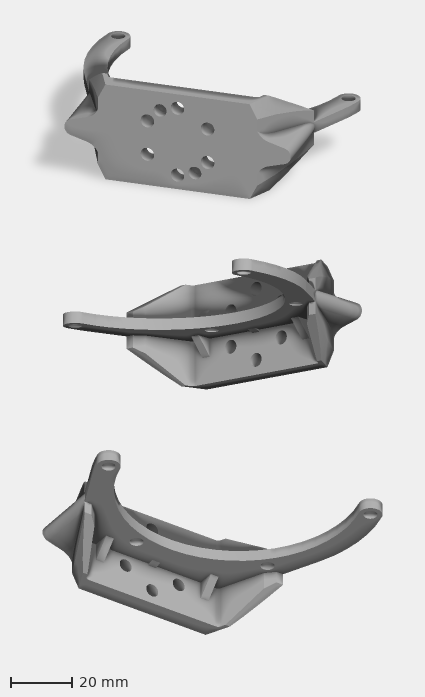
import cadquery as cq
import math

OVERALL_LENGTH = 96.5
BOLT_CIRCLE_RADIUS = 45.05
RING_CENTRE_Y = 58.0
ARM_THICKNESS = 3.9
FIRST_BOLT_ANGLE = 165
BOLT_ANGLE_STEP = 60
BOLT_COUNT = 4
HOLE_DIAMETER = 4.6

LEFT_TIP_ANGLE = math.radians(FIRST_BOLT_ANGLE)
RIGHT_TIP_ANGLE = LEFT_TIP_ANGLE + math.pi
TIP_RADIUS = (OVERALL_LENGTH - BOLT_CIRCLE_RADIUS * (1 + math.cos(RIGHT_TIP_ANGLE))) / 2
RING_INNER_RADIUS = BOLT_CIRCLE_RADIUS - TIP_RADIUS
RING_OUTER_RADIUS = BOLT_CIRCLE_RADIUS + TIP_RADIUS

BODY_HEIGHT = 34.0
PLATE_THICKNESS = 6.0
WALL_THICKNESS = 4.0
WALL_DEPTH = 24.9
WALL_ANGLE = math.radians(24.5)
WALL_TIP_WIDTH = 2.6
WALL_TIP_CHAMFER_DEPTH = 2.9
POCKET_CORNER_RADIUS = 1.4
SLOPE_START_Y = 8.5
WALL_TIP_HALF_HEIGHT = 6.1

FACET_FRONT_WIDTH = 2.6
FACET_MIDDLE_WIDTH = 2.7
FACET_REAR_WIDTH = 3.9
FACET_FRONT_Z = 11.9
FACET_MIDDLE_Z = 9.8

WING_NOSE_RADIUS = 2.9
WING_NOSE_CENTRE_X = 36.1
WING_FLARE_ANGLE = math.radians(16)
WING_FLARE_LENGTH = 5.9
WING_ROOT_RADIUS = 6.0

PLATE_CIRCLE_RADIUS = 12.0
THROUGH_HOLE_ANGLES = range(30, 360, 60)
BLIND_HOLE_ANGLES = (120, 300)
BLIND_HOLE_DIAMETER = 4.4
BLIND_HOLE_DEPTH = 3.9

GUSSET_WIDTH = 3.0
SIDE_GUSSET_X = 20.45
SIDE_GUSSET_LENGTH = 6.1
MIDDLE_GUSSET_LENGTH = 2.5
SIDE_GUSSET_SLOPE = 1.0
MIDDLE_GUSSET_SLOPE = 0.3

HALF_HEIGHT = BODY_HEIGHT / 2
CUT_MARGIN = 4.8


def polar(radius, angle, centre=(0, 0)):
    return (centre[0] + radius * math.cos(angle), centre[1] + radius * math.sin(angle))


def ring_point(radius, angle):
    return polar(radius, angle, (0, RING_CENTRE_Y))


def wall_x(y):
    """Outer wall line at depth y: it is tangent to the outer edge of the ring."""
    touch_x, touch_y = ring_point(RING_OUTER_RADIUS, -WALL_ANGLE)
    return touch_x - (touch_y - y) * math.tan(WALL_ANGLE)


def inner_wall_x(y):
    return wall_x(y) - WALL_THICKNESS / math.cos(WALL_ANGLE)


def slab(outline, height):
    """Extrude an outline at z = 0 so that it is centred there."""
    return outline.extrude(height).translate((0, 0, -height / 2))


def both_sides(shape):
    return shape.union(shape.mirror("YZ"))


def top_and_bottom(shape):
    return shape.union(shape.mirror("XY"))


def arm():
    left_end = ring_point(BOLT_CIRCLE_RADIUS, LEFT_TIP_ANGLE)
    right_end = ring_point(BOLT_CIRCLE_RADIUS, RIGHT_TIP_ANGLE)
    left_apex = polar(TIP_RADIUS, LEFT_TIP_ANGLE - math.pi / 2, left_end)
    right_apex = polar(TIP_RADIUS, RIGHT_TIP_ANGLE + math.pi / 2, right_end)
    left_touch_angle = math.pi + WALL_ANGLE
    left_middle_angle = (LEFT_TIP_ANGLE + left_touch_angle) / 2
    right_middle_angle = (RIGHT_TIP_ANGLE - WALL_ANGLE + 2 * math.pi) / 2
    outline = (
        cq.Workplane("XY")
        .moveTo(-wall_x(0), 0)
        .lineTo(*ring_point(RING_OUTER_RADIUS, left_touch_angle))
        .threePointArc(ring_point(RING_OUTER_RADIUS, left_middle_angle),
                       ring_point(RING_OUTER_RADIUS, LEFT_TIP_ANGLE))
        .threePointArc(left_apex, ring_point(RING_INNER_RADIUS, LEFT_TIP_ANGLE))
        .threePointArc(ring_point(RING_INNER_RADIUS, LEFT_TIP_ANGLE + math.pi / 2),
                       ring_point(RING_INNER_RADIUS, RIGHT_TIP_ANGLE))
        .threePointArc(right_apex, ring_point(RING_OUTER_RADIUS, RIGHT_TIP_ANGLE))
        .threePointArc(ring_point(RING_OUTER_RADIUS, right_middle_angle),
                       ring_point(RING_OUTER_RADIUS, -WALL_ANGLE))
        .lineTo(wall_x(0), 0)
        .close()
    )
    return slab(outline, ARM_THICKNESS)


def bolt_holes():
    bolt_angles = [math.radians(FIRST_BOLT_ANGLE + i * BOLT_ANGLE_STEP) for i in range(BOLT_COUNT)]
    centres = [ring_point(BOLT_CIRCLE_RADIUS, angle) for angle in bolt_angles]
    return slab(cq.Workplane("XY").pushPoints(centres).circle(HOLE_DIAMETER / 2), BODY_HEIGHT)


def pocket():
    """Open space behind the plate and between the walls."""
    chamfer_y = WALL_DEPTH - WALL_TIP_CHAMFER_DEPTH
    mouth_x = wall_x(WALL_DEPTH) - WALL_TIP_WIDTH
    right_side = [
        (inner_wall_x(PLATE_THICKNESS), PLATE_THICKNESS),
        (inner_wall_x(chamfer_y), chamfer_y),
        (mouth_x, WALL_DEPTH),
    ]
    left_side = [(-x, y) for x, y in reversed(right_side)]
    space = slab(cq.Workplane("XY").polyline(right_side + left_side).close(), BODY_HEIGHT)
    return space.edges("|Z and <Y").fillet(POCKET_CORNER_RADIUS)


def slope_cutter():
    """Wedge above the walls, falling from full height to the low wall ends."""
    wedge = (
        cq.Workplane("YZ")
        .polyline([
            (SLOPE_START_Y, HALF_HEIGHT),
            (WALL_DEPTH, WALL_TIP_HALF_HEIGHT),
            (WALL_DEPTH, HALF_HEIGHT),
        ])
        .close()
        .extrude(OVERALL_LENGTH / 2, both=True)
    )
    return top_and_bottom(wedge)


def facet_cutter():
    """Twisted facet: a smooth surface whose inclination changes from the plate front to the wall end."""
    outside_x = wall_x(WALL_DEPTH) + CUT_MARGIN

    def section(y, width, low_z):
        return (
            cq.Workplane("XZ", origin=(0, y, 0))
            .polyline([
                (wall_x(y) - width, HALF_HEIGHT),
                (wall_x(y), low_z),
                (outside_x, low_z),
                (outside_x, HALF_HEIGHT),
            ])
            .close()
            .val()
        )

    front = section(0, FACET_FRONT_WIDTH, FACET_FRONT_Z)
    middle = section(WALL_DEPTH / 2, FACET_MIDDLE_WIDTH, FACET_MIDDLE_Z)
    rear = section(WALL_DEPTH, FACET_REAR_WIDTH, WALL_TIP_HALF_HEIGHT)
    facet = cq.Workplane(cq.Solid.makeLoft([front, middle, rear]))
    return top_and_bottom(both_sides(facet))


def walled_plate():
    corners = [
        (-wall_x(0), 0),
        (wall_x(0), 0),
        (wall_x(WALL_DEPTH), WALL_DEPTH),
        (-wall_x(WALL_DEPTH), WALL_DEPTH),
    ]
    block = slab(cq.Workplane("XY").polyline(corners).close(), BODY_HEIGHT)
    return block.cut(pocket()).cut(slope_cutter()).cut(facet_cutter())


def wings():
    sine = math.sin(WING_FLARE_ANGLE)
    cosine = math.cos(WING_FLARE_ANGLE)
    nose_x = WING_NOSE_CENTRE_X + WING_NOSE_RADIUS
    flare_tip = (WING_NOSE_CENTRE_X + WING_NOSE_RADIUS * sine, WING_NOSE_RADIUS * cosine)
    flare_root = (flare_tip[0] - WING_FLARE_LENGTH * cosine, flare_tip[1] + WING_FLARE_LENGTH * sine)
    root_centre = (flare_root[0] + WING_ROOT_RADIUS * sine, flare_root[1] + WING_ROOT_RADIUS * cosine)
    root_end = (root_centre[0] - WING_ROOT_RADIUS, root_centre[1])
    middle_angle = math.pi + (math.pi / 2 - WING_FLARE_ANGLE) / 2
    root_middle = polar(WING_ROOT_RADIUS, middle_angle, root_centre)

    def lower(point):
        return (point[0], -point[1])

    bar = (
        cq.Workplane("XZ")
        .moveTo(*root_end)
        .threePointArc(root_middle, flare_root)
        .lineTo(*flare_tip)
        .threePointArc((nose_x, 0), lower(flare_tip))
        .lineTo(*lower(flare_root))
        .threePointArc(lower(root_middle), lower(root_end))
        .close()
        .extrude(-(WALL_DEPTH + CUT_MARGIN))
    )
    end_y = (nose_x - wall_x(0)) / math.tan(WALL_ANGLE)
    outside = slab(
        cq.Workplane("XY").polyline([(wall_x(0), 0), (nose_x, 0), (nose_x, end_y)]).close(),
        BODY_HEIGHT,
    )
    return both_sides(bar.intersect(outside))


def gusset(x, length, slope):
    height = length * slope
    base_z = ARM_THICKNESS / 2
    return (
        cq.Workplane("YZ", origin=(x, PLATE_THICKNESS, 0))
        .polyline([(0, base_z), (length, base_z), (0, base_z + height)])
        .close()
        .extrude(GUSSET_WIDTH / 2, both=True)
    )


def plate_holes(angles, diameter, depth):
    centres = [polar(PLATE_CIRCLE_RADIUS, math.radians(angle)) for angle in angles]
    return cq.Workplane("XZ").pushPoints(centres).circle(diameter / 2).extrude(-depth)


gussets = (
    gusset(0, MIDDLE_GUSSET_LENGTH, MIDDLE_GUSSET_SLOPE)
    .union(gusset(-SIDE_GUSSET_X, SIDE_GUSSET_LENGTH, SIDE_GUSSET_SLOPE))
    .union(gusset(SIDE_GUSSET_X, SIDE_GUSSET_LENGTH, SIDE_GUSSET_SLOPE))
)

result = (
    walled_plate()
    .union(arm())
    .union(wings())
    .union(top_and_bottom(gussets))
    .cut(bolt_holes())
    .cut(plate_holes(THROUGH_HOLE_ANGLES, HOLE_DIAMETER, PLATE_THICKNESS))
    .cut(plate_holes(BLIND_HOLE_ANGLES, BLIND_HOLE_DIAMETER, BLIND_HOLE_DEPTH))
)